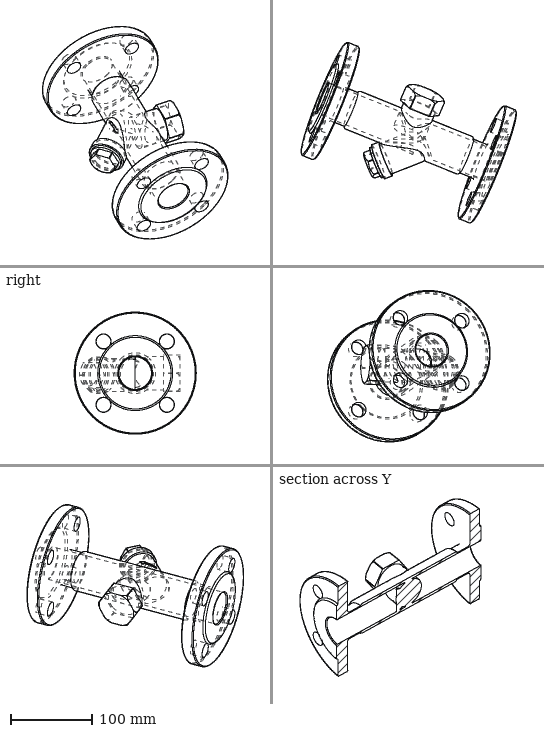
import cadquery as cq
import math

length = 230.0
bore_diameter = 40.0
bore_chamfer = 1.25
neck_diameter = 45.0
neck_fillet = 2.5
body_diameter = 50.0
body_length = 154.0
body_edge_radius = 3.5

flange_diameter = 150.0
flange_thickness = 16.0
flange_chamfer = 1.3
raised_height = 2.5
raised_base_diameter = 92.0
raised_face_diameter = 88.0
bolt_circle = 110.0
bolt_hole = 18.0
bolt_count = 4

stem_diameter = 41.0
stem_hex_flats = 45.0
stem_hex_start = 34.5
stem_hex_end = 55.0
stem_hex_chamfer = 2.4

branch_angle = 45.0
branch_drop = 2.5
branch_offset = 19.5
branch_diameter = 40.0
branch_start = -14.1
collar_diameter = 45.0
collar_start = 38.4
collar_end = 48.4
ring_end = 51.7
ring_diameter = 40.0
branch_hex_flats = 31.0
branch_hex_end = 61.7
branch_hex_face_radius = 15.9

hex_edge_break = 0.25

arrow_height = 0.5
arrow_tail = (-16.7, -26.2)
arrow_length = 22.8
arrow_head_length = 6.0
arrow_shaft_width = 2.5
arrow_head_width = 6.0


def make_run():
    """Body, necks and flanges around the through bore, revolved about X."""
    end = length / 2
    flange_front = end - raised_height
    flange_back = flange_front - flange_thickness
    body_end = body_length / 2
    bore_radius = bore_diameter / 2
    neck_radius = neck_diameter / 2
    body_radius = body_diameter / 2
    flange_radius = flange_diameter / 2

    arc_x = body_end - body_edge_radius
    arc_r = body_radius - body_edge_radius
    meet_angle = math.asin((neck_radius - arc_r) / body_edge_radius)
    middle_angle = (meet_angle + math.pi / 2) / 2

    def on_body_edge(angle):
        return (arc_x + body_edge_radius * math.cos(angle), arc_r + body_edge_radius * math.sin(angle))

    fillet_middle = neck_fillet * (1 - math.sqrt(0.5))
    body_top = (arc_x, body_radius)
    body_edge = [on_body_edge(middle_angle), on_body_edge(meet_angle)]
    fillet_start = (flange_back - neck_fillet, neck_radius)
    fillet = [
        (flange_back - fillet_middle, neck_radius + fillet_middle),
        (flange_back, neck_radius + neck_fillet),
    ]
    flange = [
        (flange_back, flange_radius - flange_chamfer),
        (flange_back + flange_chamfer, flange_radius),
        (flange_front - flange_chamfer, flange_radius),
        (flange_front, flange_radius - flange_chamfer),
        (flange_front, raised_base_diameter / 2),
        (end, raised_face_diameter / 2),
        (end, bore_radius + bore_chamfer),
        (end - bore_chamfer, bore_radius),
    ]

    def opposite(point):
        return (-point[0], point[1])

    profile = cq.Workplane("XY").moveTo(*opposite(body_top)).lineTo(*body_top)
    profile = profile.threePointArc(*body_edge).lineTo(*fillet_start).threePointArc(*fillet)
    for point in flange:
        profile = profile.lineTo(*point)
    for point in reversed(flange):
        profile = profile.lineTo(*opposite(point))
    profile = profile.lineTo(*opposite(fillet[1]))
    profile = profile.threePointArc(opposite(fillet[0]), opposite(fillet_start))
    profile = profile.lineTo(*opposite(body_edge[1]))
    profile = profile.threePointArc(opposite(body_edge[0]), opposite(body_top))
    return profile.close().revolve(360, (0, 0, 0), (1, 0, 0))


def make_bolt_holes():
    """Bolt holes of both flanges, straddling the vertical and horizontal centre planes."""
    return (
        cq.Workplane("YZ", origin=(-length / 2, 0, 0))
        .polarArray(bolt_circle / 2, 180 / bolt_count, 360, bolt_count)
        .circle(bolt_hole / 2)
        .extrude(length)
    )


def make_hex(plane, flats, start, end):
    """Hexagonal prism along the plane normal, its six long edges broken by a cylinder."""
    corner_radius = flats / 2 / math.cos(math.pi / 6)
    base = plane.workplane(offset=start)
    prism = base.polygon(6, 2 * corner_radius).extrude(end - start)
    return prism.intersect(base.circle(corner_radius - hex_edge_break).extrude(end - start))


def make_cone(plane, face_radius, start, end):
    """45 degree cone along the plane normal that narrows to face_radius at its end."""
    height = end - start
    return plane.workplane(offset=end).circle(face_radius).extrude(-height, taper=-45)


def make_stem():
    """Solid round stem from the run axis, closed by the hexagonal cap."""
    plane = cq.Workplane(cq.Plane((0, 0, 0), (1, 0, 0), (0, 1, 0)))
    stem = plane.circle(stem_diameter / 2).extrude(stem_hex_start)
    face_radius = stem_hex_flats / 2 / math.cos(math.pi / 6) - hex_edge_break - stem_hex_chamfer
    cap = make_hex(plane, stem_hex_flats, stem_hex_start, stem_hex_end)
    cap = cap.intersect(make_cone(plane, face_radius, stem_hex_start, stem_hex_end))
    return stem.union(cap)


def make_branch():
    """Solid inclined branch with collar, ring, plug head and flow arrow."""
    angle = math.radians(branch_angle)
    across = cq.Vector(-math.sin(angle), -math.cos(angle), 0)
    along = cq.Vector(math.cos(angle), -math.sin(angle), 0)
    run_centre = across * branch_offset
    branch_centre = run_centre - cq.Vector(0, 0, branch_drop)
    plane = cq.Workplane(cq.Plane(branch_centre, across, along))

    def cylinder(diameter, start, end):
        return plane.workplane(offset=start).circle(diameter / 2).extrude(end - start)

    cone_plane = cq.Workplane(cq.Plane(run_centre, across, along))
    head = make_hex(plane, branch_hex_flats, ring_end, branch_hex_end)
    head = head.intersect(make_cone(cone_plane, branch_hex_face_radius, ring_end, branch_hex_end))
    arrow_skin = cylinder(branch_diameter + 2 * arrow_height, branch_start, collar_start)
    return (
        cylinder(branch_diameter, branch_start, collar_start)
        .union(cylinder(collar_diameter, collar_start, collar_end))
        .union(cylinder(ring_diameter, collar_end, ring_end))
        .union(head)
        .union(make_arrow().intersect(arrow_skin))
    )


def make_arrow():
    """Upright prism with the outline of the flow arrow, pointing to +X."""
    shaft_length = arrow_length - arrow_head_length
    shaft = arrow_shaft_width / 2
    head = arrow_head_width / 2
    return (
        cq.Workplane("XY", origin=(*arrow_tail, 0))
        .moveTo(0, -shaft)
        .lineTo(shaft_length, -shaft)
        .lineTo(shaft_length, -head)
        .lineTo(arrow_length, 0)
        .lineTo(shaft_length, head)
        .lineTo(shaft_length, shaft)
        .lineTo(0, shaft)
        .close()
        .extrude(branch_diameter)
    )


result = make_run().cut(make_bolt_holes()).union(make_stem()).union(make_branch())